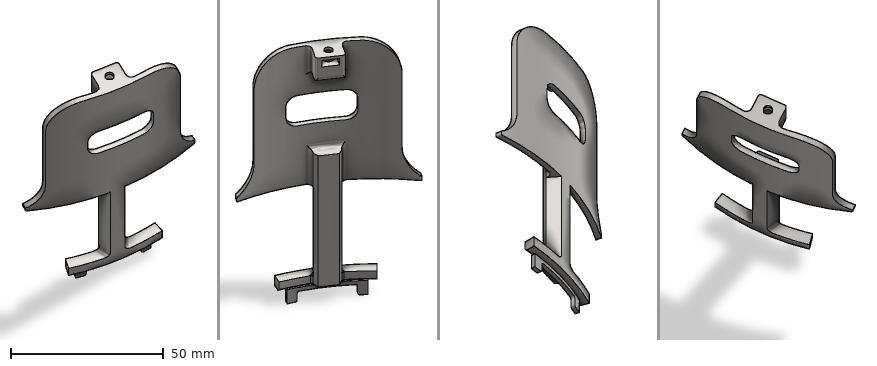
import cadquery as cq
import math

outer_radius = 88.7
plate_thickness = 2.0
total_height = 100.8

plate_bottom = 45.1
plate_half_width = 24.7
top_corner_radius = 13.1
flare_half_width = 30.9
flare_tip_z = 46.7
flare_top_z = 58.1
tip_round = 0.5

window_width = 24.2
window_height = 12.1
window_radius = 4.0
window_y = 1.5
window_z = 75.3

block_depth = 10.0
block_width = 10.1
block_height = 9.9
block_side_round = 1.0
block_bottom_round = 2.0
root_fillet = 2.0
screw_diameter = 3.0
screw_x = -6.0
nut_width = 5.8
nut_slot_height = 2.5
nut_slot_top_gap = 1.2

stem_depth = 6.6
stem_shoulder_depth = 4.6
stem_half_width = 4.8
stem_back_half_width = 2.6
stem_face_half_width = 3.5
stem_top = 59.1
stem_bottom = 6.6
stem_root_fillet = 1.9

bar_half_width = 17.1
bar_thickness = 4.0
bar_bottom = 5.7
bar_top = 9.7
bar_chamfer = 0.9
bar_fillet = 2.0
gusset_half_width = 5.9

tongue_half_width = 14.1
tongue_inset = 2.3
tongue_thickness = 1.5
foot_width = 4.0
foot_notch_top = 4.1
foot_round = 0.9
notch_round = 0.7


def curved_band(inset, thickness, half_width, z_bottom, z_top):
    """Arc-shaped wall concentric with the plate, with radial ends."""
    angle = math.asin(half_width / outer_radius)

    def point(radius, turn):
        return (radius * math.cos(turn) - outer_radius, radius * math.sin(turn))

    outer = outer_radius - inset
    inner = outer - thickness
    return (
        cq.Workplane("XY", origin=(0, 0, z_bottom))
        .moveTo(*point(outer, -angle))
        .threePointArc(point(outer, 0), point(outer, angle))
        .lineTo(*point(inner, angle))
        .threePointArc(point(inner, 0), point(inner, -angle))
        .close()
        .extrude(z_top - z_bottom)
    )


def box_between(x_min, x_max, half_width, z_min, z_max):
    size = (x_max - x_min, 2 * half_width, z_max - z_min)
    return cq.Workplane("XY").box(*size, centered=(False, True, False)).translate((x_min, 0, z_min))


def make_plate():
    flare_run = flare_half_width - plate_half_width
    flare_drop = flare_top_z - flare_tip_z
    flare_radius = (flare_run**2 + flare_drop**2) / (2 * flare_run)
    corner_y = plate_half_width - top_corner_radius
    corner_z = total_height - top_corner_radius
    half_outline = (
        cq.Workplane("YZ", origin=(-outer_radius / 2, 0, 0))
        .moveTo(0, plate_bottom)
        .lineTo(flare_half_width - tip_round, plate_bottom)
        .radiusArc((flare_half_width, plate_bottom + tip_round), -tip_round)
        .lineTo(flare_half_width, flare_tip_z)
        .radiusArc((plate_half_width, flare_top_z), flare_radius)
        .lineTo(plate_half_width, corner_z)
        .radiusArc((corner_y, total_height), -top_corner_radius)
        .lineTo(0, total_height)
        .close()
        .extrude(outer_radius)
    )
    outline = half_outline.union(half_outline.mirror("XZ"))
    blank_half_width = flare_half_width + plate_thickness
    blank = curved_band(0, plate_thickness, blank_half_width, plate_bottom, total_height)
    window = (
        cq.Workplane("XY")
        .box(outer_radius, window_width, window_height)
        .edges("|X")
        .fillet(window_radius)
        .translate((0, window_y, window_z))
    )
    return blank.intersect(outline).cut(window)


def flared_column(front_corners, side_y, root_radius):
    """Column whose sides flare tangentially into the concave plate face.

    front_corners lists the points on the +Y half, from the side towards the front.
    """
    inner_radius = outer_radius - plate_thickness
    center_y = side_y + root_radius
    center_from_axis = math.sqrt((inner_radius - root_radius) ** 2 - center_y**2)
    center_x = center_from_axis - outer_radius
    stretch = inner_radius / (inner_radius - root_radius)
    contact = (center_from_axis * stretch - outer_radius, center_y * stretch)
    back_x = -plate_thickness / 2
    half = (
        cq.Workplane("XY")
        .moveTo(back_x, 0)
        .lineTo(back_x, contact[1])
        .lineTo(*contact)
        .radiusArc((center_x, side_y), root_radius)
    )
    for corner in front_corners:
        half = half.lineTo(*corner)
    half = half.lineTo(front_corners[-1][0], 0).close().extrude(total_height)
    return half.union(half.mirror("XZ"))


def flared_end(z_end, z_far, root_radius):
    """Ring sector that ends at z_end, flaring there into the concave plate face."""
    outward = math.copysign(1, z_end - z_far)
    apex = -plate_thickness
    back_x = apex / 2
    front_x = -2 * block_depth
    return (
        cq.Workplane("XZ")
        .moveTo(back_x, z_far)
        .lineTo(back_x, z_end + outward * root_radius)
        .lineTo(apex, z_end + outward * root_radius)
        .radiusArc((apex - root_radius, z_end), outward * root_radius)
        .lineTo(front_x, z_end)
        .lineTo(front_x, z_far)
        .close()
        .revolve(360, (-outer_radius, 0, 0), (-outer_radius, 1, 0))
    )


def make_block():
    bottom = total_height - block_height
    half_width = block_width / 2
    column = flared_column([(-block_depth, half_width)], half_width, root_fillet)
    column = column.edges("|Z and <X").fillet(block_side_round)
    front = box_between(-block_depth, -block_depth / 2, half_width, bottom, total_height)
    front = front.faces("<X").edges("<Z").fillet(block_bottom_round)
    back = box_between(-block_depth / 2, 0, block_width, bottom - root_fillet, total_height)
    envelope = front.union(back)
    return column.intersect(flared_end(bottom, total_height, root_fillet)).intersect(envelope)


def make_stem_root():
    """Upper part of the stem, blended into the plate."""
    corners = [(-stem_shoulder_depth, stem_half_width), (-stem_depth, stem_face_half_width)]
    column = flared_column(corners, stem_half_width, stem_root_fillet)
    return column.intersect(flared_end(stem_top, plate_bottom, stem_root_fillet))


def make_stem():
    """Six-sided bar, widest at its shoulders, whose back follows the convex face."""
    height = plate_bottom - stem_bottom
    prism = (
        cq.Workplane("XY", origin=(0, 0, stem_bottom))
        .polyline([
            (0, -stem_back_half_width),
            (-stem_shoulder_depth, -stem_half_width),
            (-stem_depth, -stem_face_half_width),
            (-stem_depth, stem_face_half_width),
            (-stem_shoulder_depth, stem_half_width),
            (0, stem_back_half_width),
        ])
        .close()
        .extrude(height)
    )
    return prism.intersect(curved_band(0, stem_depth * 2, bar_half_width, stem_bottom, plate_bottom))


def make_screw_cuts():
    """Vertical screw hole and a nut slot, open at the front, with a pointed back."""
    hole = (
        cq.Workplane("XY", origin=(screw_x, 0, total_height - block_height))
        .circle(screw_diameter / 2)
        .extrude(block_height)
    )
    half_nut = nut_width / 2
    nut_point = nut_width / math.sqrt(3)
    slot = (
        cq.Workplane("XY", origin=(0, 0, total_height - nut_slot_top_gap - nut_slot_height))
        .polyline([
            (-block_depth, -half_nut),
            (screw_x + nut_point / 2, -half_nut),
            (screw_x + nut_point, 0),
            (screw_x + nut_point / 2, half_nut),
            (-block_depth, half_nut),
        ])
        .close()
        .extrude(nut_slot_height)
    )
    return hole.union(slot)


def make_crossbar():
    bar = curved_band(0, bar_thickness, bar_half_width, bar_bottom, bar_top)
    inner_mid = (-bar_thickness, 0, bar_bottom)
    bar = bar.edges(cq.selectors.NearestToPointSelector(inner_mid)).chamfer(bar_chamfer)
    body = bar.union(make_stem())
    margin = 0.1
    for side in (-1, 1):
        y_limits = sorted((side * (stem_back_half_width - margin), side * (stem_half_width + margin)))
        corner = cq.selectors.BoxSelector(
            (-stem_shoulder_depth - margin, y_limits[0], bar_top - margin),
            (margin, y_limits[1], bar_top + margin),
            boundingbox=True,
        )
        body = body.edges(corner).fillet(bar_fillet)
    return body.union(make_bar_gusset())


def make_bar_gusset():
    """Wedges that blend the stem shoulders into the front of the crossbar."""
    return (
        cq.Workplane("XY", origin=(0, 0, stem_bottom))
        .polyline([
            (-stem_shoulder_depth, -stem_half_width),
            (-stem_shoulder_depth, stem_half_width),
            (-bar_thickness, gusset_half_width),
            (-bar_thickness, -gusset_half_width),
        ])
        .close()
        .extrude(bar_top - stem_bottom)
    )


def make_tongue():
    tongue = curved_band(tongue_inset, tongue_thickness, tongue_half_width, 0, bar_bottom)
    notch_half_width = tongue_half_width - foot_width
    notch = box_between(-outer_radius / 2, 0, notch_half_width, -foot_notch_top, foot_notch_top)
    notch = notch.edges("|X and >Z").fillet(notch_round)
    envelope = box_between(-outer_radius / 2, 0, tongue_half_width, 0, bar_bottom)
    feet = envelope.cut(notch).faces("<Z").edges("|X").fillet(foot_round)
    return tongue.intersect(feet)


upper = make_plate().union(make_block()).union(make_stem_root()).cut(make_screw_cuts())
result = upper.union(make_crossbar()).union(make_tongue())